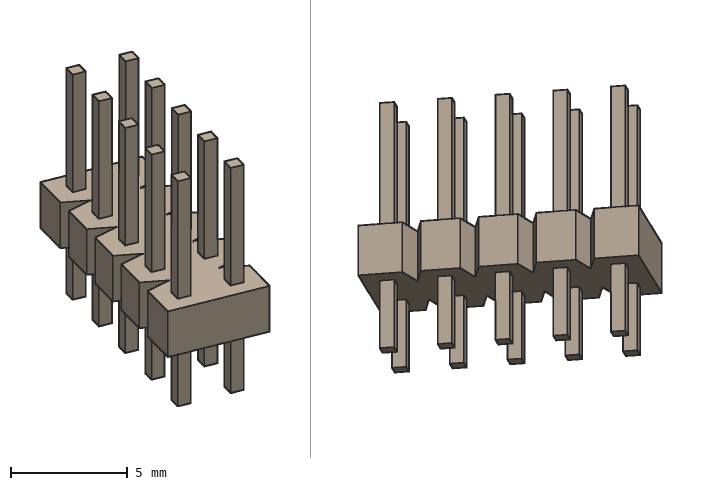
import cadquery as cq

pins_per_row = 5
pin_rows = 2
pitch = 2.53

body_length = 12.29
body_width = 4.88
body_height = 2.27

pin_side = 0.63
pin_length = 11.18
pin_below_body = 3.07

notch_width = 0.81
notch_depth = 1.24
notches_per_side = pins_per_row - 1


def make_body():
    """Plain rectangular housing block."""
    return cq.Workplane("XY").box(
        body_length, body_width, body_height, centered=(True, True, False)
    )


def make_notch(x, side):
    """Triangular cutter at x on the +Y (side = 1) or -Y (side = -1) face."""
    face_y = side * body_width / 2
    tip_y = face_y - side * notch_depth
    return (
        cq.Workplane("XY")
        .moveTo(x - notch_width / 2, face_y)
        .lineTo(x + notch_width / 2, face_y)
        .lineTo(x, tip_y)
        .close()
        .extrude(body_height)
    )


def make_pins():
    """All pins, reaching from below the housing to above it."""
    return (
        cq.Workplane("XY", origin=(0, 0, -pin_below_body))
        .rarray(pitch, pitch, pins_per_row, pin_rows)
        .rect(pin_side, pin_side)
        .extrude(pin_length)
    )


result = make_body()
for index in range(notches_per_side):
    notch_x = (index - (notches_per_side - 1) / 2) * pitch
    for side in (-1, 1):
        result = result.cut(make_notch(notch_x, side))
result = result.union(make_pins())